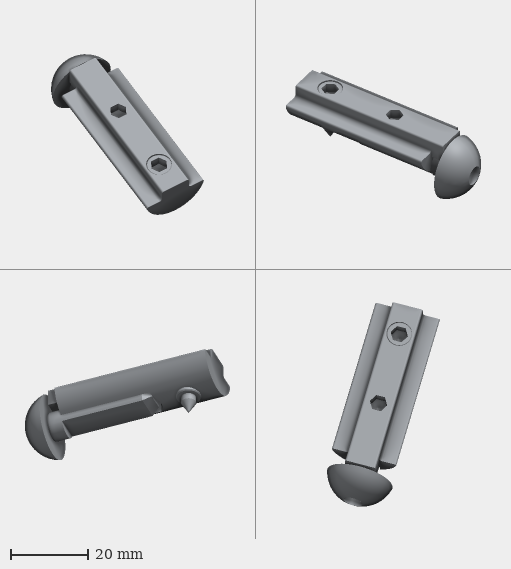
import cadquery as cq
import math

LENGTH = 52.65

HEAD_DIAMETER = 17.5
HEAD_THICKNESS = 6.65
HEAD_BORE_DIAMETER = 5.1
HEAD_BORE_DEPTH = 2.9
SPIGOT_DIAMETER = 4.45

SHAFT_DIAMETER = 7.8
SHAFT_NECK_CHAMFER = (0.4, 0.1)
FLAT_START = 10.7
FLAT_Z = -1.75
SHAFT_END = 35.3
SHAFT_END_CHAMFER = (2.2, 1.45)
SPIGOT_CHAMFER = 0.45
SPIGOT_HOLE_DEPTH = 5.25
DRILL_HALF_ANGLE = 59.0

RAIL_START = FLAT_START
BOSS_START = 7.05
BOSS_WIDTH = 8.1
HEAD_TO_BOSS_STEP = 0.45
BOSS_TOP = HEAD_DIAMETER / 2 + HEAD_TO_BOSS_STEP
WING_TOP = 5.75
RAIL_RADIUS = 8.95
RAIL_ARC_Z = 7.5
EDGE_RADIUS = 0.5
ROOT_RADIUS = 0.8
SHAFT_CLEARANCE = 0.35

SCREW_DIAMETER = 6.65
CLAMP_X = 24.65
POINT_X = 44.6
CLAMP_TOP = BOSS_TOP
POINT_TOP = 9.0
POINT_CHAMFER = 0.25
POINT_SHOULDER_Z = FLAT_Z
POINT_PIN_DIAMETER = 3.9
POINT_PIN_END_Z = -3.45
POINT_TIP_Z = -6.8
SOCKET_FLATS = 4.0
SOCKET_DEPTH = 2.65

BORE_RADIUS = SHAFT_DIAMETER / 2 + SHAFT_CLEARANCE


def drill_tip(radius):
    """Length of the conical bottom that a drill of this radius leaves."""
    return radius / math.tan(math.radians(DRILL_HALF_ANGLE))


def turned_x(points):
    """Solid of revolution about the X axis from (x, radius) points."""
    return cq.Workplane("XY").polyline(points).close().revolve(360, (0, 0, 0), (1, 0, 0))


def turned_z(points):
    """Solid of revolution about the Z axis from (radius, z) points."""
    return cq.Workplane("XZ").polyline(points).close().revolve(360, (0, 0, 0), (0, 1, 0))


def drilled_hole(start, end, radius):
    """Cutter along X with a conical far end."""
    return turned_x([(start, 0), (start, radius), (end, radius), (end + drill_tip(radius), 0)])


def make_head():
    """Spherical button, with a bore that tapers down to the shaft spigot."""
    rim = HEAD_DIAMETER / 2
    bore = HEAD_BORE_DIAMETER / 2
    spigot = SPIGOT_DIAMETER / 2
    centre = (HEAD_THICKNESS**2 + rim**2 - bore**2) / (2 * HEAD_THICKNESS)
    radius = math.hypot(centre, bore)
    middle_x = HEAD_THICKNESS / 2
    middle = (middle_x, math.sqrt(radius**2 - (centre - middle_x) ** 2))
    return (
        cq.Workplane("XY")
        .moveTo(0, bore)
        .threePointArc(middle, (HEAD_THICKNESS, rim))
        .lineTo(HEAD_THICKNESS, spigot)
        .lineTo(HEAD_BORE_DEPTH + bore - spigot, spigot)
        .lineTo(HEAD_BORE_DEPTH, bore)
        .close()
        .revolve(360, (0, 0, 0), (1, 0, 0))
    )


def make_shaft():
    """Round shaft with a flat underside, a chamfered end and a drilled spigot."""
    radius = SHAFT_DIAMETER / 2
    neck_length, neck_step = SHAFT_NECK_CHAMFER
    end_length, end_step = SHAFT_END_CHAMFER
    cone_start = SHAFT_END - end_length
    spigot_radius = SPIGOT_DIAMETER / 2
    spigot_start = HEAD_BORE_DEPTH + (HEAD_BORE_DIAMETER - SPIGOT_DIAMETER) / 2
    hole_radius = spigot_radius - SPIGOT_CHAMFER
    shaft = turned_x([
        (spigot_start, 0),
        (spigot_start, hole_radius),
        (spigot_start + SPIGOT_CHAMFER, spigot_radius),
        (HEAD_THICKNESS, spigot_radius),
        (HEAD_THICKNESS, radius - neck_step),
        (HEAD_THICKNESS + neck_length, radius),
        (cone_start, radius),
        (SHAFT_END, radius - end_step),
        (SHAFT_END, 0),
    ])
    below_flat = (
        cq.Workplane("XZ")
        .polyline([
            (FLAT_START, -radius),
            (FLAT_START, FLAT_Z),
            (cone_start, FLAT_Z),
            (SHAFT_END, FLAT_Z + end_step),
            (SHAFT_END, -radius),
        ])
        .close()
        .extrude(radius, both=True)
    )
    hole = drilled_hole(spigot_start, spigot_start + SPIGOT_HOLE_DEPTH, hole_radius)
    return shaft.cut(below_flat).cut(hole)


def make_rail():
    """Winged rail with a round underside and a boss that overhangs the shaft collar."""
    half_wing = math.sqrt(RAIL_RADIUS**2 - (RAIL_ARC_Z - WING_TOP) ** 2)
    half_boss = BOSS_WIDTH / 2
    rail = (
        cq.Workplane("YZ", origin=(RAIL_START, 0, 0))
        .moveTo(-half_wing, WING_TOP)
        .threePointArc((0, RAIL_ARC_Z - RAIL_RADIUS), (half_wing, WING_TOP))
        .lineTo(half_boss, WING_TOP)
        .lineTo(half_boss, BOSS_TOP)
        .lineTo(-half_boss, BOSS_TOP)
        .lineTo(-half_boss, WING_TOP)
        .close()
        .extrude(LENGTH - RAIL_START)
    )
    for side in (-1, 1):
        root = cq.selectors.NearestToPointSelector((LENGTH / 2, side * half_boss, WING_TOP))
        rail = rail.edges("|X").edges(root).fillet(ROOT_RADIUS)
        tip = cq.selectors.NearestToPointSelector((LENGTH / 2, side * half_wing, WING_TOP))
        rail = rail.edges("|X").edges(tip).fillet(EDGE_RADIUS)

    overhang = cq.Workplane("XY").box(
        RAIL_START - BOSS_START, BOSS_WIDTH, BOSS_TOP - BORE_RADIUS, centered=(False, True, False)
    ).translate((BOSS_START, 0, BORE_RADIUS))
    rail = rail.union(overhang)
    rail = rail.faces(">Z").edges("|X").fillet(EDGE_RADIUS)

    rail = rail.cut(drilled_hole(RAIL_START, SHAFT_END, BORE_RADIUS))
    clamp_hole = cq.Workplane("XY").center(CLAMP_X, 0).circle(SCREW_DIAMETER / 2).extrude(BOSS_TOP)
    point_hole = (
        cq.Workplane("XY").center(POINT_X, 0).circle(SCREW_DIAMETER / 2).extrude(BOSS_TOP, both=True)
    )
    return rail.cut(clamp_hole).cut(point_hole)


def hex_socket(top):
    """Hexagonal cutter with corners toward +Y and -Y and a conical bottom."""
    corner = SOCKET_FLATS / math.sqrt(3)
    cone_length = drill_tip(corner)
    hexagon = (
        cq.Workplane("XY", origin=(0, 0, top))
        .transformed(rotate=(0, 0, 90))
        .polygon(6, 2 * corner)
        .extrude(-SOCKET_DEPTH - cone_length)
    )
    floor = top - SOCKET_DEPTH
    drill = turned_z([(0, top), (corner, top), (corner, floor), (0, floor - cone_length)])
    return hexagon.intersect(drill)


def make_clamp_screw():
    """Flat set screw that bears on the shaft."""
    bottom = SHAFT_DIAMETER / 2
    body = (
        cq.Workplane("XY", origin=(0, 0, bottom)).circle(SCREW_DIAMETER / 2).extrude(CLAMP_TOP - bottom)
    )
    return body.cut(hex_socket(CLAMP_TOP)).translate((CLAMP_X, 0, 0))


def make_point_screw():
    """Set screw with a pointed pin below the rail."""
    radius = SCREW_DIAMETER / 2
    pin = POINT_PIN_DIAMETER / 2
    body = turned_z([
        (0, POINT_TOP),
        (radius - POINT_CHAMFER, POINT_TOP),
        (radius, POINT_TOP - POINT_CHAMFER),
        (radius, POINT_SHOULDER_Z + POINT_CHAMFER),
        (radius - POINT_CHAMFER, POINT_SHOULDER_Z),
        (pin, POINT_SHOULDER_Z),
        (pin, POINT_PIN_END_Z),
        (0, POINT_TIP_Z),
    ])
    return body.cut(hex_socket(POINT_TOP)).translate((POINT_X, 0, 0))


head = make_head()
shaft = make_shaft()
rail = make_rail()
clamp_screw = make_clamp_screw()
point_screw = make_point_screw()

result = cq.Compound.makeCompound([
    head.val(),
    shaft.val(),
    rail.val(),
    clamp_screw.val(),
    point_screw.val(),
])